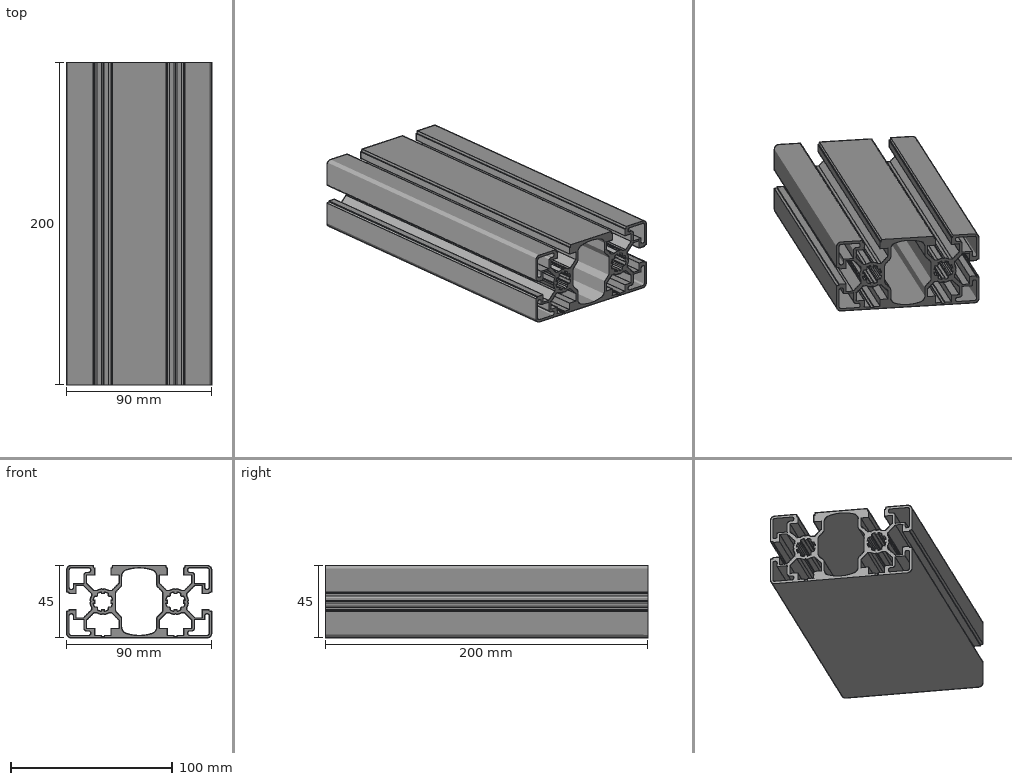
import cadquery as cq
import math

length = 200.0
width = 90.0
height = 45.0
corner_radius = 3.0

half_height = height / 2
half_width = width / 2
core_x = half_width - half_height
wall = 1.5
inner_face = half_height - wall

mouth_half = 5.0
channel_half = 10.0
lip_depth = 6.0
lip_underside = half_height - lip_depth
diagonal_start = 11.5
side_diagonal_start = 12.0
channel_floor = 7.0

pad_half = 3.5
pad_top = 8.0
groove_half = 0.8
groove_depth = 0.5

step_half = 5.5
step_half_outer = 6.0
step_depth = 1.5

closed_groove_half = 1.0
closed_groove_depth = 0.5

bore_radius = 5.0
relief_half = 3.2
relief_radius = 6.0
tooth_half = 1.0

chamber_inner = 11.8
chamber_base = 11.2
pocket_end = 7.5
pocket_floor = 18.2
chamber_corner_radius = corner_radius - wall
pocket_round = 1.2
pocket_shoulder_radius = 1.8

cavity_half = 10.8
cavity_waist_half = 14.5
cavity_shoulder_z = 9.8
cavity_waist_z = cavity_shoulder_z - (cavity_waist_half - cavity_half)
cavity_bend_radius = 2.5
cavity_crown_radius = 26.0
cavity_corner_radius = 4.0


def profile_plane():
    return cq.Workplane("XZ")


def extrude(outline):
    return outline.extrude(length / 2, both=True)


def box(x_min, x_max, z_min, z_max):
    outline = profile_plane().center((x_min + x_max) / 2, (z_min + z_max) / 2)
    return extrude(outline.rect(x_max - x_min, z_max - z_min))


def make_channel(outer_level, diagonal_top):
    """T-slot opening upward from the core axis, with a grooved pad on its floor."""
    floor_half = channel_half - (diagonal_top - channel_floor)
    pad_shoulder = (pad_half + groove_half) / 2
    shoulder_z = pad_top - (pad_top - channel_floor) * (pad_shoulder / pad_half) ** 2
    outline = (
        profile_plane()
        .moveTo(-mouth_half, outer_level)
        .lineTo(-mouth_half, lip_underside)
        .lineTo(-channel_half, lip_underside)
        .lineTo(-channel_half, diagonal_top)
        .lineTo(-floor_half, channel_floor)
        .lineTo(-pad_half, channel_floor)
        .threePointArc((-pad_shoulder, shoulder_z), (-groove_half, pad_top))
        .lineTo(0, pad_top - groove_depth)
        .lineTo(groove_half, pad_top)
        .threePointArc((pad_shoulder, shoulder_z), (pad_half, channel_floor))
        .lineTo(floor_half, channel_floor)
        .lineTo(channel_half, diagonal_top)
        .lineTo(channel_half, lip_underside)
        .lineTo(mouth_half, lip_underside)
        .lineTo(mouth_half, outer_level)
        .close()
    )
    return extrude(outline)


def make_open_channel(diagonal_top):
    step_z = half_height - step_depth
    step = profile_plane().polyline([
        (-step_half, step_z),
        (step_half, step_z),
        (step_half_outer, half_height),
        (-step_half_outer, half_height),
    ]).close()
    return make_channel(half_height, diagonal_top).union(extrude(step))


def make_closed_channel():
    groove = box(-closed_groove_half, closed_groove_half,
                 lip_underside, inner_face + closed_groove_depth)
    return make_channel(inner_face, diagonal_start).union(groove)


def make_core_bore():
    """Round bore relieved by crossed slots, leaving teeth on the axes and diagonals."""
    bore = box(-relief_radius, relief_radius, -relief_half, relief_half)
    bore = bore.union(box(-relief_half, relief_half, -relief_radius, relief_radius))
    bore = bore.intersect(extrude(profile_plane().circle(relief_radius)))
    for quarter_turn in range(4):
        tooth = box(bore_radius, relief_radius, -tooth_half, tooth_half)
        bore = bore.cut(tooth.rotate((0, 0, 0), (0, 1, 0), 90 * quarter_turn))
    return bore.union(extrude(profile_plane().circle(bore_radius)))


def round_edges(solid, x, z, radius):
    """Round the lengthwise edge at (x, z)."""
    margin = 0.2
    selector = cq.selectors.BoxSelector(
        (x - margin, -length, z - margin), (x + margin, length, z + margin))
    return solid.edges(selector).fillet(radius)


def make_corner_chamber():
    """Upper left hollow, with pockets reaching behind both neighbouring lips."""
    chamber = extrude(profile_plane().polyline([
        (-inner_face, inner_face),
        (-pocket_end, inner_face),
        (-pocket_end, pocket_floor),
        (-chamber_inner, pocket_floor),
        (-chamber_inner, chamber_base),
        (-pocket_floor, chamber_base),
        (-pocket_floor, pocket_end),
        (-inner_face, pocket_end),
    ]).close())
    chamber = round_edges(chamber, -inner_face, inner_face, chamber_corner_radius)
    chamber = round_edges(chamber, -chamber_inner, pocket_floor, pocket_shoulder_radius)
    for x, z in [
        (-pocket_end, inner_face),
        (-pocket_end, pocket_floor),
        (-pocket_floor, pocket_end),
        (-inner_face, pocket_end),
    ]:
        chamber = round_edges(chamber, x, z, pocket_round)
    return chamber


def make_module_cutter():
    """Everything removed around the left core, modelled about the core axis."""
    top_channel = make_open_channel(diagonal_start)
    side_channel = make_open_channel(side_diagonal_start).rotate((0, 0, 0), (0, 1, 0), -90)
    chamber = make_corner_chamber()
    cutter = make_core_bore()
    cutter = cutter.union(top_channel)
    cutter = cutter.union(side_channel)
    cutter = cutter.union(make_closed_channel().mirror("XY"))
    cutter = cutter.union(chamber)
    return cutter.union(chamber.mirror("XY"))


def make_middle_cavity():
    """Tall cavity, built as one quarter and mirrored onto the other three."""
    def crown_z(x):
        return inner_face - cavity_crown_radius + math.sqrt(cavity_crown_radius ** 2 - x ** 2)

    corner_z = crown_z(cavity_half)
    crown_middle = cavity_half / 2
    outline = (
        profile_plane()
        .lineTo(0, inner_face)
        .threePointArc((crown_middle, crown_z(crown_middle)), (cavity_half, corner_z))
        .lineTo(cavity_half, cavity_shoulder_z)
        .lineTo(cavity_waist_half, cavity_waist_z)
        .lineTo(cavity_waist_half, 0)
        .close()
    )
    quarter = extrude(outline)
    quarter = round_edges(quarter, cavity_half, corner_z, cavity_corner_radius)
    quarter = round_edges(quarter, cavity_half, cavity_shoulder_z, cavity_bend_radius)
    quarter = round_edges(quarter, cavity_waist_half, cavity_waist_z, cavity_bend_radius)
    upper_half = quarter.union(quarter.mirror("YZ"))
    return upper_half.union(upper_half.mirror("XY")).clean()


body = box(-half_width, half_width, -half_height, half_height).edges("|Y").fillet(corner_radius)
left_cutter = make_module_cutter().translate((-core_x, 0, 0))
result = body.cut(left_cutter).cut(left_cutter.mirror("YZ")).cut(make_middle_cavity())